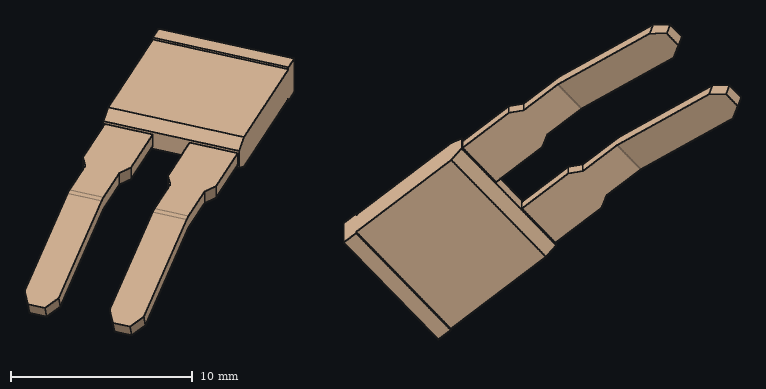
import cadquery as cq
import math

body_width = 8.0
body_length = 8.57
body_height = 2.01
flange_length = 0.91
flange_height = 2.29
nose_length = 0.75
nose_height = 1.15

overall_length = 22.85
pin_pitch = 5.0
pin_thickness = 0.8
root_width = 2.83
blade_width = 2.01
tip_width = 1.0
shoulder_start = 11.93
shoulder_end = 12.65
bend_start = 15.1
bend_angle = 18.0
bend_outer_radius = 0.94
tip_length = 0.85

back_y = overall_length / 2
body_front_y = back_y - body_length
bend_y = back_y - bend_start
front_y = back_y - overall_length


def make_body():
    """Extrude the symmetrical side profile across the body width."""
    flange_y = back_y - flange_length
    nose_y = body_front_y + nose_length
    upper_points = [
        (back_y, flange_height / 2),
        (flange_y, flange_height / 2),
        (flange_y, body_height / 2),
        (nose_y, body_height / 2),
        (body_front_y, nose_height / 2),
    ]
    lower_points = [(y, -z) for y, z in reversed(upper_points)]
    profile = cq.Workplane("YZ").polyline(upper_points + lower_points).close()
    return profile.extrude(body_width / 2, both=True)


def make_bent_strip():
    """Make a strip at root width that bends down toward its tip."""
    angle = math.radians(bend_angle)
    inner_radius = bend_outer_radius - pin_thickness
    top_z = pin_thickness / 2
    center_z = top_z - bend_outer_radius

    def bend_point(radius, turn):
        return (bend_y - radius * math.sin(turn), center_z + radius * math.cos(turn))

    outer_end = bend_point(bend_outer_radius, angle)
    inner_end = bend_point(inner_radius, angle)
    run = outer_end[0] - front_y
    drop = run * math.tan(angle)
    profile = (
        cq.Workplane("YZ")
        .moveTo(body_front_y, top_z)
        .lineTo(bend_y, top_z)
        .threePointArc(bend_point(bend_outer_radius, angle / 2), outer_end)
        .lineTo(front_y, outer_end[1] - drop)
        .lineTo(inner_end[0] - run, inner_end[1] - drop)
        .lineTo(*inner_end)
        .threePointArc(bend_point(inner_radius, angle / 2), (bend_y, -top_z))
        .lineTo(body_front_y, -top_z)
        .close()
    )
    return profile.extrude(root_width / 2, both=True)


def symmetric_plate(workplane, right_points):
    """Extrude an outline mirrored about X = 0, far enough to span a pin."""
    left_points = [(-x, y) for x, y in reversed(right_points)]
    outline = workplane.polyline(right_points + left_points).close()
    return outline.extrude(overall_length, both=True)


def make_pin():
    """Trim the bent strip to its shoulders and tapered tip."""
    shoulder_points = [
        (root_width / 2, body_front_y),
        (root_width / 2, back_y - shoulder_start),
        (blade_width / 2, back_y - shoulder_end),
        (blade_width / 2, front_y),
    ]
    shoulder_plate = symmetric_plate(cq.Workplane("XY"), shoulder_points)

    angle = math.radians(bend_angle)
    top_z = pin_thickness / 2
    outer_end_y = bend_y - bend_outer_radius * math.sin(angle)
    outer_end_z = top_z - bend_outer_radius * (1 - math.cos(angle))
    tip_z = outer_end_z - (outer_end_y - front_y) * math.tan(angle)
    tip_plane = cq.Plane(
        origin=(0, front_y, tip_z),
        xDir=(1, 0, 0),
        normal=(0, -math.sin(angle), math.cos(angle)),
    )
    tip_points = [
        (root_width / 2, overall_length),
        (root_width / 2, tip_length),
        (blade_width / 2, tip_length),
        (tip_width / 2, 0),
    ]
    tip_plate = symmetric_plate(cq.Workplane(tip_plane), tip_points)
    return make_bent_strip().intersect(shoulder_plate).intersect(tip_plate)


result = make_body()
pin = make_pin()
for side in (-1, 1):
    result = result.union(pin.translate((side * pin_pitch / 2, 0, 0)))